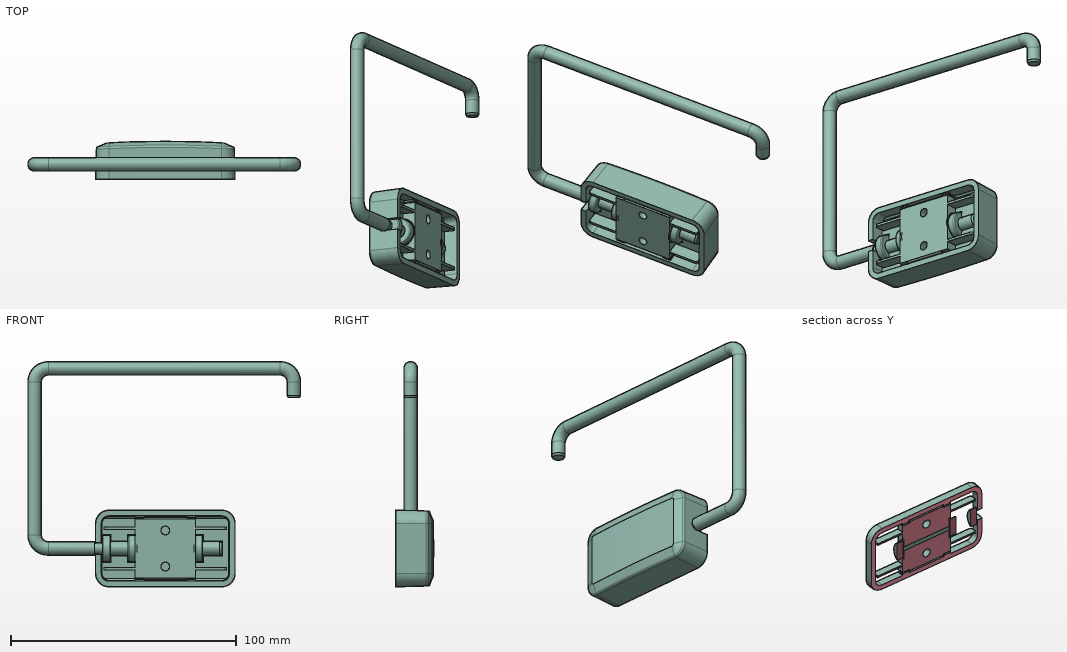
import cadquery as cq
import math


HOUSING_WIDTH = 62.0
HOUSING_HEIGHT = 34.1
HOUSING_DEPTH = 17.0
CORNER_RADIUS = 6.0
OUTER_DRAFT = 1.5
DOME_RADIUS = 520.3
DOME_STOCK = 1.2
BEVEL_DROP = 1.7
BEVEL_RUN = 4.6
BEVEL_FILLET = 1.1

WALL = 2.5
CAVITY_DEPTH = 6.0
CAVITY_DRAFT = 3.5
FLOOR_BEVEL = 0.8
cavity_width = HOUSING_WIDTH - 2 * WALL
cavity_height = HOUSING_HEIGHT - 2 * WALL
floor_height = cavity_height - 2 * CAVITY_DEPTH * math.tan(math.radians(CAVITY_DRAFT))

COVER_WIDTH = 26.9
COVER_HEIGHT = 26.0
COVER_INSET = 0.2
LIP_HEIGHT = 0.7
SCREW_HOLE_DIAMETER = 3.9
SCREW_HOLE_PITCH = 16.0
RIB_LENGTH = 54.5
RIB_THICKNESS = 1.1
RIB_PITCH = 17.9
RIB_END_RADIUS = 1.1
cover_depth = CAVITY_DEPTH - COVER_INSET

TAB_INNER_X = 9.5
TAB_FRONT_Y = 1.0
TAB_FRONT_REACH = 0.7
TAB_GAP = 0.2
tab_width = COVER_WIDTH / 2 - TAB_INNER_X

ROD_SPAN = 121.0
ROD_DIAMETER = 6.0
ROD_Y = 6.7
BEND_RADIUS = 6.0
LEFT_LEG_X = -58.0
TOP_ARM_Z = 79.9
TIP_Z = 66.9
SHAFT_END_X = 25.0
END_CHAMFER_LENGTH = 1.0
END_CHAMFER_DEPTH = 0.5
NECK_DIAMETER = 4.8
NECK_START_X = -31.3
COLLAR_DIAMETER = 11.6
COLLAR_WIDTH = 3.6
COLLAR_FILLET = 0.55
COLLAR_STARTS_X = (-28.0, -16.5, 13.0)
right_leg_x = LEFT_LEG_X + ROD_SPAN - ROD_DIAMETER

SHAFT_CLEARANCE = 0.2
COLLAR_CLEARANCE = 0.4
AXIAL_CLEARANCE = 0.2
SLOT_WIDTH = 5.2
SLOT_OVERRUN = 0.5


def facing_back(y):
    """Workplane at depth y whose normal points to the back (+Y)."""
    return cq.Workplane(cq.Plane(origin=(0, y, 0), xDir=(1, 0, 0), normal=(0, 1, 0)))


def along_x(diameter, start, end):
    """Cylinder on the shaft axis between two X positions."""
    plane = cq.Workplane("YZ", origin=(start, ROD_Y, 0))
    return plane.circle(diameter / 2).extrude(end - start)


def prism(profile, start, length):
    """Closed (Y, Z) profile extruded along X."""
    return cq.Workplane("YZ", origin=(start, 0, 0)).polyline(profile).close().extrude(length)


def in_four_corners(piece):
    """A piece from the upper right of the cavity, mirrored into the other three corners."""
    upper = piece.union(piece.mirror("YZ"))
    return upper.union(upper.mirror("XY"))


def drafted_block(width, height, radius, depth, draft):
    """Rounded block from the housing front, narrowing towards the back."""
    outline = cq.Sketch().rect(width, height).vertices().fillet(radius)
    return facing_back(0).placeSketch(outline).extrude(depth, taper=draft)


def make_rod_seat():
    """Space that the shaft and its collars need inside the housing and the cover."""
    shaft_room = ROD_DIAMETER + 2 * SHAFT_CLEARANCE
    collar_room = COLLAR_DIAMETER + 2 * COLLAR_CLEARANCE
    seat = along_x(shaft_room, COLLAR_STARTS_X[0], SHAFT_END_X + AXIAL_CLEARANCE)
    for start in COLLAR_STARTS_X:
        end = start + COLLAR_WIDTH
        seat = seat.union(along_x(collar_room, start - AXIAL_CLEARANCE, end + AXIAL_CLEARANCE))
    return seat


def make_shell():
    """Solid outer shape: drafted block with a domed, bevelled back."""
    stock_depth = HOUSING_DEPTH + DOME_STOCK
    block = drafted_block(HOUSING_WIDTH, HOUSING_HEIGHT, CORNER_RADIUS, stock_depth, OUTER_DRAFT)
    dome = cq.Workplane("XY").sphere(DOME_RADIUS).translate((0, HOUSING_DEPTH - DOME_RADIUS, 0))
    shell = block.intersect(dome)
    shell = shell.faces("%SPHERE").edges().chamfer(BEVEL_DROP, BEVEL_RUN)

    foot_zone = cq.selectors.BoxSelector(
        (-HOUSING_WIDTH, HOUSING_DEPTH - 2 * BEVEL_DROP, -HOUSING_HEIGHT),
        (HOUSING_WIDTH, HOUSING_DEPTH - BEVEL_DROP, HOUSING_HEIGHT),
        boundingbox=True,
    )
    return shell.edges(foot_zone).fillet(BEVEL_FILLET)


def make_floor_bevels():
    """Slopes between the cavity floor and the long walls, on both sides of the cover."""
    slope_y = CAVITY_DEPTH - FLOOR_BEVEL
    profile = [
        (CAVITY_DEPTH, floor_height / 2 - FLOOR_BEVEL),
        (slope_y, floor_height / 2),
        (slope_y, cavity_height / 2),
        (CAVITY_DEPTH, cavity_height / 2),
    ]
    return in_four_corners(prism(profile, COVER_WIDTH / 2, (cavity_width - COVER_WIDTH) / 2))


def make_snap_tabs():
    """Tabs on the long walls that come closer to the cover towards the floor."""
    wall_z = cavity_height / 2
    profile = [
        (TAB_FRONT_Y, wall_z),
        (TAB_FRONT_Y, wall_z - TAB_FRONT_REACH),
        (CAVITY_DEPTH, COVER_HEIGHT / 2 + TAB_GAP),
        (CAVITY_DEPTH, wall_z),
    ]
    return in_four_corners(prism(profile, TAB_INNER_X, tab_width))


def make_neck_slot():
    """Slot through the left wall, open at the front and round at the rod axis."""
    start = -HOUSING_WIDTH / 2
    length = WALL + SLOT_OVERRUN
    opening = cq.Workplane("XY").box(length, ROD_Y, SLOT_WIDTH, centered=(False, False, True))
    return along_x(SLOT_WIDTH, start, start + length).union(opening.translate((start, 0, 0)))


def make_housing(rod_seat):
    cavity = drafted_block(cavity_width, cavity_height, CORNER_RADIUS - WALL, CAVITY_DEPTH, CAVITY_DRAFT)
    housing = make_shell().cut(cavity).union(make_floor_bevels()).union(make_snap_tabs())
    return housing.cut(rod_seat).cut(make_neck_slot())


def make_rib():
    """Rib along the cavity with rounded front ends, centred on Z = 0."""
    rib = facing_back(COVER_INSET).rect(RIB_LENGTH, RIB_THICKNESS).extrude(cover_depth)
    return rib.faces("<Y").edges("|Z").fillet(RIB_END_RADIUS)


def make_lips():
    """Middle part of the cover, which slopes outwards at the top and bottom edges."""
    half_front = COVER_HEIGHT / 2
    half_back = half_front + LIP_HEIGHT
    slope_end_y = COVER_INSET + LIP_HEIGHT
    profile = [
        (COVER_INSET, -half_front),
        (COVER_INSET, half_front),
        (slope_end_y, half_back),
        (CAVITY_DEPTH, half_back),
        (CAVITY_DEPTH, -half_back),
        (slope_end_y, -half_back),
    ]
    return prism(profile, -TAB_INNER_X, 2 * TAB_INNER_X)


def make_cover(rod_seat):
    plate = facing_back(COVER_INSET).rect(COVER_WIDTH, COVER_HEIGHT).extrude(cover_depth)
    cover = plate.union(make_lips())
    for side in (-1, 1):
        cover = cover.union(make_rib().translate((0, 0, side * RIB_PITCH / 2)))
    screw_holes = (
        facing_back(COVER_INSET)
        .rarray(1.2, SCREW_HOLE_PITCH, 1, 2)
        .circle(SCREW_HOLE_DIAMETER / 2)
        .extrude(cover_depth)
    )
    return cover.cut(screw_holes).cut(rod_seat)


def make_bent_arm():
    """Round bar from the housing wall, up, across and down to the free tip."""
    path = (
        cq.Workplane("XZ", origin=(0, ROD_Y, 0))
        .moveTo(NECK_START_X, 0)
        .lineTo(LEFT_LEG_X + BEND_RADIUS, 0)
        .radiusArc((LEFT_LEG_X, BEND_RADIUS), BEND_RADIUS)
        .lineTo(LEFT_LEG_X, TOP_ARM_Z - BEND_RADIUS)
        .radiusArc((LEFT_LEG_X + BEND_RADIUS, TOP_ARM_Z), BEND_RADIUS)
        .lineTo(right_leg_x - BEND_RADIUS, TOP_ARM_Z)
        .radiusArc((right_leg_x, TOP_ARM_Z - BEND_RADIUS), BEND_RADIUS)
        .lineTo(right_leg_x, TIP_Z)
    )
    section = cq.Workplane("YZ", origin=(NECK_START_X, ROD_Y, 0)).circle(ROD_DIAMETER / 2)
    tip = cq.selectors.NearestToPointSelector((right_leg_x, ROD_Y, TIP_Z))
    return section.sweep(path).faces(tip).edges().chamfer(END_CHAMFER_LENGTH, END_CHAMFER_DEPTH)


def make_rod():
    neck = along_x(NECK_DIAMETER, NECK_START_X, COLLAR_STARTS_X[0])
    shaft = along_x(ROD_DIAMETER, COLLAR_STARTS_X[0], SHAFT_END_X)
    shaft = shaft.faces(">X").edges().chamfer(END_CHAMFER_LENGTH, END_CHAMFER_DEPTH)
    rod = make_bent_arm().union(neck).union(shaft)
    for start in COLLAR_STARTS_X:
        collar = along_x(COLLAR_DIAMETER, start, start + COLLAR_WIDTH).edges().fillet(COLLAR_FILLET)
        rod = rod.union(collar)
    return rod


seat = make_rod_seat()
housing = make_housing(seat)
cover = make_cover(seat)
rod = make_rod()

result = cq.Compound.makeCompound([body.solids().val() for body in (housing, cover, rod)])